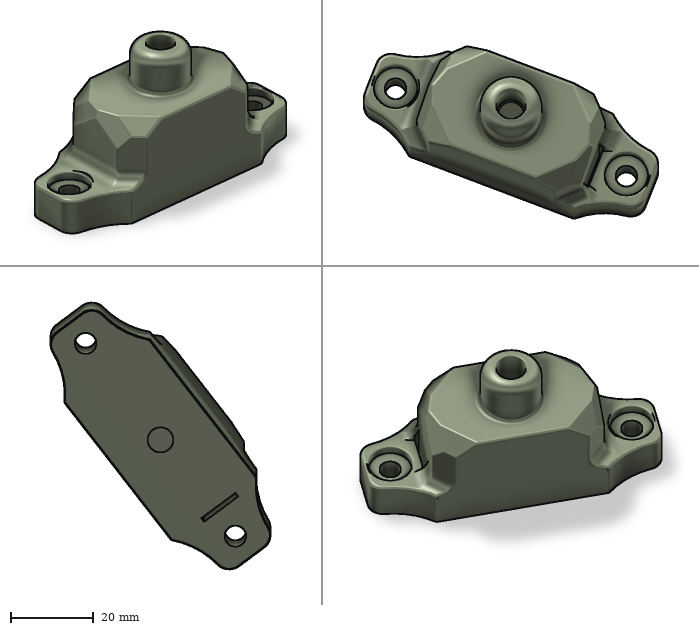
import cadquery as cq
import math

LENGTH = 73.0
WIDTH = 26.0
HEIGHT = 37.2
BOSS_HEIGHT = 10.95
BODY_HEIGHT = HEIGHT - BOSS_HEIGHT
EDGE_ROUND = 1.0
BOTTOM_CHAMFER = 0.2

EAR_HEIGHT = 9.5
EAR_END_HALF_WIDTH = 3.9
EAR_CORNER_RADIUS = 3.9
EAR_CORNER_SWEEP = math.radians(83.5)

END_WALL_Y = 21.45
CORNER_CUT = 5.05
COVE_RADIUS = 4.0

CORNER_FACET = 4.0
RIDGE_TOP_Y = 20.6
RIDGE_FALL = 2.1
SIDE_FALL = 0.7

EAR_HOLE_Y = 30.0
EAR_HOLE_DIAMETER = 5.2
EAR_COUNTERBORE_DIAMETER = 10.5
EAR_COUNTERBORE_DEPTH = 2.2
COUNTERBORE_ROUND = 0.5

SLOT_X = 1.3
NOTCH_WIDTH = 9.35
SLOT_WIDTH = 10.4
SLOT_THICKNESS = 1.1

BOSS_DIAMETER = 15.0
BOSS_FOOT_RADIUS = 1.5
BORE_DIAMETER = 7.2
BORE_RIM_DIAMETER = 8.0
PIN_DIAMETER = 6.2

RIM_TOLERANCE = 0.1

SMOOTH_ANGLE = math.radians(5)

OVERSIZE = 2 * LENGTH


def space_above(point, normal, along):
    """Space on the side of a sloping plane that its normal points to, higher than the coves."""
    plane = cq.Plane(origin=point, xDir=along, normal=normal)
    beyond = cq.Workplane(plane).rect(OVERSIZE, OVERSIZE).extrude(OVERSIZE)
    ear_zone = cq.Workplane("XY").rect(OVERSIZE, OVERSIZE).extrude(EAR_HEIGHT + COVE_RADIUS)
    return beyond.cut(ear_zone)


def end_prism():
    """Full-height prism of the +Y half of the plan outline, mirrored from one quarter."""
    half_width = WIDTH / 2
    half_length = LENGTH / 2
    corner_end = (
        EAR_END_HALF_WIDTH + EAR_CORNER_RADIUS * math.sin(EAR_CORNER_SWEEP),
        half_length - EAR_CORNER_RADIUS * (1 - math.cos(EAR_CORNER_SWEEP)),
    )
    quarter = (
        cq.Workplane("XY")
        .moveTo(0, 0)
        .lineTo(0, half_length)
        .lineTo(EAR_END_HALF_WIDTH, half_length)
        .tangentArcPoint(corner_end, relative=False)
        .tangentArcPoint((half_width, END_WALL_Y), relative=False)
        .lineTo(half_width, 0)
        .close()
        .extrude(BODY_HEIGHT)
    )
    return quarter.union(quarter.mirror("YZ")).clean()


def wall_cutter(point, angle):
    """Space outside a vertical wall, above the ears, with a cove along its foot."""
    outward = (math.cos(angle), math.sin(angle), 0)
    along = (math.sin(angle), -math.cos(angle), 0)
    plane = cq.Plane(origin=(*point, EAR_HEIGHT), xDir=outward, normal=along)
    mid = COVE_RADIUS * (1 - math.sqrt(0.5))
    return (
        cq.Workplane(plane)
        .moveTo(0, COVE_RADIUS)
        .threePointArc((mid, mid), (COVE_RADIUS, 0))
        .lineTo(LENGTH, 0)
        .lineTo(LENGTH, LENGTH)
        .lineTo(0, LENGTH)
        .close()
        .extrude(LENGTH, both=True)
    )


def corner_facet_cutter(side):
    """45 degree cut over one chamfered corner of the tower."""
    point = (side * (WIDTH / 2 - CORNER_CUT), END_WALL_Y, BODY_HEIGHT - CORNER_FACET)
    return space_above(point, (side, 1, math.sqrt(2)), (side, -1, 0))


def end_facet_cutter(side):
    """Half of the ridged slope over the end wall of the tower."""
    point = (0, RIDGE_TOP_Y, BODY_HEIGHT)
    return space_above(point, (side * SIDE_FALL, RIDGE_FALL, 1), (0, 1, -RIDGE_FALL))


def is_crease(edge, body):
    """Whether the two faces beside an edge meet at an angle instead of running smoothly on."""
    middle = edge.positionAt(0.5)
    first, second = [face.normalAt(middle) for face in edge.ancestors(body.val(), "Face").Faces()]
    return first.getAngle(second) > SMOOTH_ANGLE


def creases(body):
    """All sharp edges of the +Y end, without those of its bottom and its middle plane."""
    return [edge for edge in body.edges("not(<Z or <Y)").vals() if is_crease(edge, body)]


def rounded(body):
    """The +Y end with its tower edges rounded first and the rims of its ears after them."""
    on_tower = [e for e in creases(body) if abs(e.Center().z - EAR_HEIGHT) > RIM_TOLERANCE]
    body = body.newObject(on_tower).fillet(EDGE_ROUND)
    return body.newObject(creases(body)).fillet(EDGE_ROUND)


def tower_cutters():
    """Everything cut away around the +Y end of the tower."""
    cutters = [wall_cutter((0, END_WALL_Y), math.radians(90))]
    for side in (-1, 1):
        corner = (side * (WIDTH / 2 - CORNER_CUT), END_WALL_Y)
        outward_angle = math.radians(90 - side * 45)
        cutters.append(wall_cutter(corner, outward_angle))
        cutters.append(corner_facet_cutter(side))
        cutters.append(end_facet_cutter(side))
    return cutters


def tower_and_ears():
    """The solid block of the housing with all its outer edges rounded."""
    end = end_prism()
    for cutter in tower_cutters():
        end = end.cut(cutter)
    end = rounded(end)
    return end.union(end.mirror("XZ")).clean().faces("<Z").chamfer(BOTTOM_CHAMFER)


def notch_cutter():
    """Gap through the cove down to the ear, turned about the cove axis to round its upper edges."""
    half_width = NOTCH_WIDTH / 2
    rim_half_width = half_width + EDGE_ROUND
    reach = 2 * COVE_RADIUS
    wall_start = COVE_RADIUS + EDGE_ROUND
    axis_y = END_WALL_Y + COVE_RADIUS
    axis_z = EAR_HEIGHT + COVE_RADIUS
    turned_gap = (
        cq.Workplane("XY")
        .moveTo(-rim_half_width, 0)
        .lineTo(-rim_half_width, COVE_RADIUS)
        .radiusArc((-half_width, wall_start), -EDGE_ROUND)
        .lineTo(-half_width, reach)
        .lineTo(half_width, reach)
        .lineTo(half_width, wall_start)
        .radiusArc((rim_half_width, COVE_RADIUS), -EDGE_ROUND)
        .lineTo(rim_half_width, 0)
        .close()
        .revolve(360, (0, 0), (1, 0))
        .translate((SLOT_X, axis_y, axis_z))
    )
    cove_zone = (
        cq.Workplane("XY")
        .box(2 * rim_half_width, COVE_RADIUS, COVE_RADIUS, centered=(True, False, False))
        .translate((SLOT_X, END_WALL_Y, EAR_HEIGHT))
    )
    return turned_gap.intersect(cove_zone)


def slot_cutter():
    """Slot along the foot of the end wall, down through the base."""
    return (
        cq.Workplane("XY")
        .box(SLOT_WIDTH, SLOT_THICKNESS, EAR_HEIGHT + COVE_RADIUS, centered=(True, False, False))
        .translate((SLOT_X, END_WALL_Y, 0))
    )


def ear_hole_cutter():
    """Stepped screw hole with a rounded upper rim."""
    hole_radius = EAR_HOLE_DIAMETER / 2
    bore_radius = EAR_COUNTERBORE_DIAMETER / 2
    rim_radius = bore_radius + COUNTERBORE_ROUND
    floor = EAR_HEIGHT - EAR_COUNTERBORE_DEPTH
    rim_foot = EAR_HEIGHT - COUNTERBORE_ROUND
    return (
        cq.Workplane("XZ")
        .lineTo(hole_radius, 0)
        .lineTo(hole_radius, floor)
        .lineTo(bore_radius, floor)
        .lineTo(bore_radius, rim_foot)
        .radiusArc((rim_radius, EAR_HEIGHT), COUNTERBORE_ROUND)
        .lineTo(rim_radius, EAR_HEIGHT + COVE_RADIUS)
        .lineTo(0, EAR_HEIGHT + COVE_RADIUS)
        .close()
        .revolve(360, (0, 0), (0, 1))
        .translate((0, EAR_HOLE_Y, 0))
    )


def boss():
    """Round boss with a flared foot, a domed top and a bore with a rounded rim."""
    radius = BOSS_DIAMETER / 2
    bore_radius = BORE_DIAMETER / 2
    rim_radius = BORE_RIM_DIAMETER / 2
    dome_radius = radius - rim_radius
    rim_round = rim_radius - bore_radius
    return (
        cq.Workplane("XZ")
        .moveTo(bore_radius, BODY_HEIGHT)
        .lineTo(radius + BOSS_FOOT_RADIUS, BODY_HEIGHT)
        .radiusArc((radius, BODY_HEIGHT + BOSS_FOOT_RADIUS), BOSS_FOOT_RADIUS)
        .lineTo(radius, HEIGHT - dome_radius)
        .radiusArc((rim_radius, HEIGHT), -dome_radius)
        .radiusArc((bore_radius, HEIGHT - rim_round), -rim_round)
        .close()
        .revolve(360, (0, 0), (0, 1))
    )


def make_housing():
    """Tower, ears and boss in one piece, with the ear holes, the slot and the pin hole."""
    body = tower_and_ears()
    body = body.cut(notch_cutter()).cut(slot_cutter())
    hole = ear_hole_cutter()
    body = body.cut(hole).cut(hole.mirror("XZ"))
    pin_hole = cq.Workplane("XY").circle(PIN_DIAMETER / 2).extrude(BODY_HEIGHT)
    return body.union(boss()).cut(pin_hole)


def make_pin():
    """Round pin through the tower, level with the bottom of the bore."""
    return cq.Workplane("XY").circle(PIN_DIAMETER / 2).extrude(BODY_HEIGHT)


housing = make_housing()
pin = make_pin()
result = cq.Compound.makeCompound([housing.solids().val(), pin.val()])